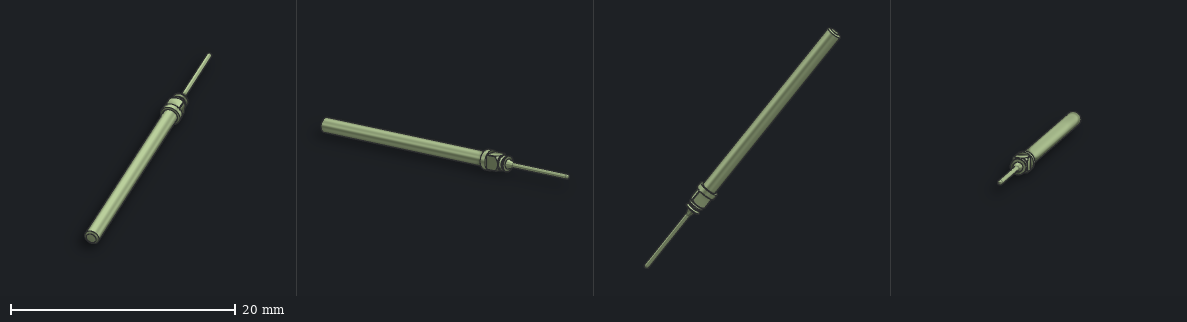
import cadquery as cq

total_length = 27.9
barrel_end = -total_length / 2
pin_tip = total_length / 2

barrel_diameter = 1.4
barrel_face_diameter = 0.95
collar_diameter = 1.9
neck_diameter = 1.12
barb_diameter = 1.45
cone_base_diameter = 0.9
pin_diameter = 0.47

barrel_crown_length = 0.15
barrel_length = 18.53
collar_length = 0.53
square_length = 1.23
neck_length = 0.17
rear_barb_length = 0.17
groove_length = 0.1
front_barb_length = 0.17
front_barb_rim = 0.08
cone_length = 0.65
pin_tip_radius = 0.2

square_width = 1.4
square_face_diameter = 1.45
square_chamfer_length = 0.22

collar_start = barrel_end + barrel_length
square_start = collar_start + collar_length
square_end = square_start + square_length
rear_barb_start = square_end + neck_length
groove_start = rear_barb_start + rear_barb_length
front_barb_start = groove_start + groove_length
front_barb_full = front_barb_start + front_barb_length
front_barb_end = front_barb_full + front_barb_rim
cone_end = front_barb_end + cone_length


def turned(stations):
    """Revolve a solid about Y from (diameter, y) pairs ordered along the axis."""
    outline = [(diameter / 2, y) for diameter, y in stations]
    closed_outline = [(0, stations[0][1])] + outline + [(0, stations[-1][1])]
    return cq.Workplane("XY").polyline(closed_outline).close().revolve(360, (0, 0, 0), (0, 1, 0))


def barrel_and_collar():
    return turned([
        (barrel_face_diameter, barrel_end),
        (barrel_diameter, barrel_end + barrel_crown_length),
        (barrel_diameter, collar_start),
        (collar_diameter, collar_start),
        (collar_diameter, square_start),
    ])


def square_section():
    """Square with its corners rounded to the collar and coned at the front."""
    corner_limit = turned([
        (collar_diameter, square_start),
        (collar_diameter, square_end - square_chamfer_length),
        (square_face_diameter, square_end),
    ])
    block = cq.Workplane("XY").box(square_width, square_length, square_width)
    block = block.translate((0, square_start + square_length / 2, 0))
    return block.intersect(corner_limit)


def barbs_and_pin():
    """Two barbs flaring from the neck, then the taper and the slim round-tipped pin."""
    return turned([
        (neck_diameter, square_end),
        (barb_diameter, rear_barb_start),
        (neck_diameter, groove_start),
        (neck_diameter, front_barb_start),
        (barb_diameter, front_barb_full),
        (barb_diameter, front_barb_end),
        (cone_base_diameter, front_barb_end),
        (pin_diameter, cone_end),
        (pin_diameter, pin_tip),
    ]).faces(">Y").edges().fillet(pin_tip_radius)


result = barrel_and_collar().union(square_section()).union(barbs_and_pin())